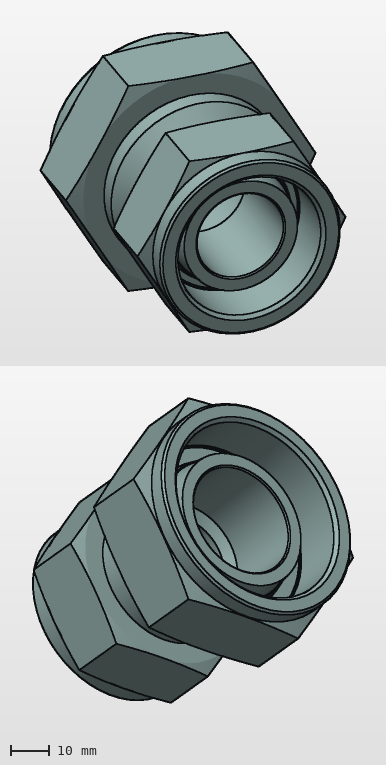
import cadquery as cq
import math


total_length = 65.3

large_hex_flats = 60.0
small_hex_flats = 50.0
large_collar_radius = 29.85
small_collar_radius = 25.0
large_collar_length = 4.85
small_collar_length = 5.4
large_nut_length = 25.0
small_nut_length = 24.0
collar_chamfer = 0.6
corner_angle = 15.0
large_outer_bevel = 1.4
large_inner_bevel = 1.2
small_bevel = 1.05
mouth_chamfer = 1.05

large_pipe_radius = 24.9
small_pipe_radius = 19.8
body_clearance = 0.35
stop_depth = 16.2
seat_length = 0.75

cone_start = 29.9
large_bore_radius = 14.95
small_bore_radius = 12.0
bore_cone_angle = 60.0
bore_chamfer = 0.4
spigot_depth = 6.9
spigot_wall = 3.75
spigot_rise = 0.9
spigot_step = 0.35
root_rise = 0.6
root_length = 2.4

large_body_radius = large_pipe_radius - body_clearance
small_body_radius = small_pipe_radius - body_clearance


def revolve_about_x(points):
    """Solid of revolution about X from (x, radius) points."""
    return cq.Workplane("XY").polyline(points).close().revolve(360, (0, 0, 0), (1, 0, 0))


def beveled_hexagon(start, end, flats, start_bevel, end_bevel):
    """Hexagonal prism with flats facing +Z and -Z and its corners trimmed by shallow cones."""
    corner_radius = flats / math.sqrt(3)
    prism = (
        cq.Workplane("YZ", origin=(start, 0, 0))
        .polygon(6, 2 * corner_radius)
        .extrude(end - start)
    )
    slope = math.tan(math.radians(corner_angle))
    envelope = revolve_about_x([
        (start, 0),
        (start, corner_radius - start_bevel / slope),
        (start + start_bevel, corner_radius),
        (end - end_bevel, corner_radius),
        (end, corner_radius - end_bevel / slope),
        (end, 0),
    ])
    return prism.intersect(envelope)


def make_nut(length, flats, collar_radius, collar_length, pipe_radius, outer_bevel, inner_bevel):
    """Nut with its pipe opening at X = 0 and its inner end at X = length."""
    collar = revolve_about_x([
        (0, 0),
        (0, collar_radius - collar_chamfer),
        (collar_chamfer, collar_radius),
        (collar_length, collar_radius),
        (collar_length + outer_bevel, collar_radius),
        (collar_length + outer_bevel, 0),
    ])
    seat_radius = pipe_radius - body_clearance
    seat_start = stop_depth - seat_length
    opening = revolve_about_x([
        (0, 0),
        (0, pipe_radius + mouth_chamfer),
        (mouth_chamfer, pipe_radius),
        (seat_start, pipe_radius),
        (seat_start, seat_radius),
        (length, seat_radius),
        (length, 0),
    ])
    hexagon = beveled_hexagon(collar_length, length, flats, outer_bevel, inner_bevel)
    return hexagon.union(collar).cut(opening)


def spigot_profile(bore_radius):
    """(depth, radius) points from the bore at the spigot face out to the root of the spigot."""
    face_radius = bore_radius + spigot_wall
    step_radius = face_radius + spigot_rise
    root_start = stop_depth - root_length
    return [
        (spigot_depth + bore_chamfer, bore_radius),
        (spigot_depth, bore_radius + bore_chamfer),
        (spigot_depth, face_radius),
        (root_start, step_radius),
        (root_start, step_radius + spigot_step),
        (stop_depth, step_radius + spigot_step + root_rise),
    ]


def make_body():
    cone_end = cone_start + large_body_radius - small_body_radius
    bore_cone_length = (large_bore_radius - small_bore_radius) / math.tan(math.radians(bore_cone_angle))
    large_spigot = spigot_profile(large_bore_radius)
    small_spigot = [(total_length - depth, radius) for depth, radius in spigot_profile(small_bore_radius)]
    return revolve_about_x([
        *large_spigot,
        (stop_depth, large_body_radius),
        (cone_start, large_body_radius),
        (cone_end, small_body_radius),
        (total_length - stop_depth, small_body_radius),
        *reversed(small_spigot),
        (cone_start + bore_cone_length, small_bore_radius),
        (cone_start, large_bore_radius),
    ])


body = make_body()

large_nut = make_nut(
    large_nut_length, large_hex_flats, large_collar_radius, large_collar_length,
    large_pipe_radius, large_outer_bevel, large_inner_bevel,
)

small_nut = make_nut(
    small_nut_length, small_hex_flats, small_collar_radius, small_collar_length,
    small_pipe_radius, small_bevel, small_bevel,
).rotate((0, 0, 0), (0, 0, 1), 180).translate((total_length, 0, 0))

result = cq.Compound.makeCompound([body.val(), large_nut.val(), small_nut.val()])